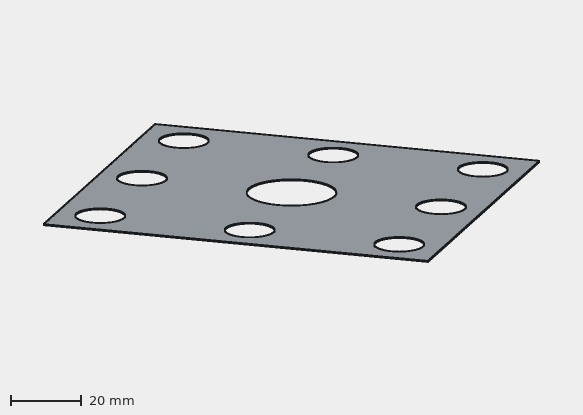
import cadquery as cq

length = 114.3
width = 101.6
thickness = 0.38

center_diameter = 25.4

hole_diameter = 14.2
pitch_x = 44.5
pitch_y = 38.1
grid_steps = (-1, 0, 1)

hole_centers = [
    (column * pitch_x, row * pitch_y)
    for column in grid_steps
    for row in grid_steps
    if (column, row) != (0, 0)
]

plate = cq.Workplane("XY").rect(length, width).extrude(thickness)
center_opening = cq.Workplane("XY").circle(center_diameter / 2).extrude(thickness)
holes = cq.Workplane("XY").pushPoints(hole_centers).circle(hole_diameter / 2).extrude(thickness)

result = plate.cut(center_opening).cut(holes)